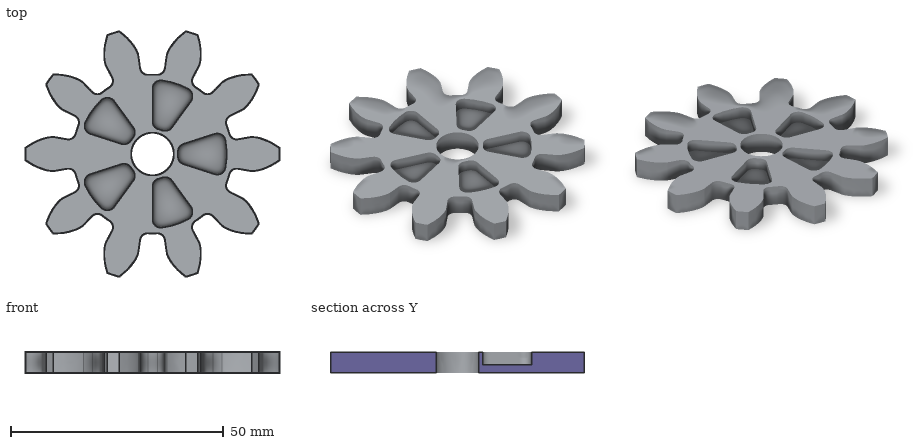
import cadquery as cq
import math

TOOTH_COUNT = 10
MODULE = 5.0
PRESSURE_ANGLE = math.radians(20)
ROOT_CLEARANCE = 1.25
ROOT_FILLET = 1.75
THICKNESS = 5.0
BORE_DIAMETER = 10.0

PITCH_RADIUS = MODULE * TOOTH_COUNT / 2
TIP_RADIUS = PITCH_RADIUS + MODULE
ROOT_RADIUS = PITCH_RADIUS - MODULE - ROOT_CLEARANCE
BASE_RADIUS = PITCH_RADIUS * math.cos(PRESSURE_ANGLE)
TOOTH_PITCH_ANGLE = 2 * math.pi / TOOTH_COUNT
FLANK_POINTS = 7

POCKET_COUNT = 5
POCKET_PITCH_ANGLE = 2 * math.pi / POCKET_COUNT
POCKET_HALF_ANGLE = POCKET_PITCH_ANGLE / 4
POCKET_INNER_RADIUS = 6.0
POCKET_OUTER_RADIUS = 17.5
POCKET_CORNER_RADIUS = 2.0
POCKET_DEPTH = 3.0


def polar(radius, angle):
    """X and Y of a point given by radius and angle."""
    return (radius * math.cos(angle), radius * math.sin(angle))


def involute(pressure_angle):
    """Involute function: polar angle rolled out at a local pressure angle."""
    return math.tan(pressure_angle) - pressure_angle


def tooth_half_angle(radius):
    """Half the angle a tooth covers at a radius on its involute flank."""
    at_pitch = TOOTH_PITCH_ANGLE / 4
    local_pressure_angle = math.acos(min(1.0, BASE_RADIUS / radius))
    return at_pitch + involute(PRESSURE_ANGLE) - involute(local_pressure_angle)


def flank_points(center_angle, side):
    """Points on one involute flank, from the base circle out to the tip."""
    points = []
    for i in range(FLANK_POINTS):
        fraction = (i / (FLANK_POINTS - 1)) ** 2
        radius = BASE_RADIUS + (TIP_RADIUS - BASE_RADIUS) * fraction
        points.append(polar(radius, center_angle + side * tooth_half_angle(radius)))
    return points


def axis_distance(edge):
    """Distance of an upright edge from the gear axis."""
    center = edge.Center()
    return math.hypot(center.x, center.y)


def make_gear_blank():
    """Toothed disc with radial flanks below the base circle and rounded roots."""
    root_half_angle = tooth_half_angle(BASE_RADIUS)
    outline = cq.Workplane("XY").moveTo(*polar(ROOT_RADIUS, -root_half_angle))
    for i in range(TOOTH_COUNT):
        center_angle = i * TOOTH_PITCH_ANGLE
        rising = flank_points(center_angle, -1)
        falling = flank_points(center_angle, 1)[::-1]
        gap_middle = polar(ROOT_RADIUS, center_angle + TOOTH_PITCH_ANGLE / 2)
        next_root = polar(ROOT_RADIUS, center_angle + TOOTH_PITCH_ANGLE - root_half_angle)
        outline = (
            outline.lineTo(*rising[0])
            .spline(rising[1:], includeCurrent=True)
            .threePointArc(polar(TIP_RADIUS, center_angle), falling[0])
            .spline(falling[1:], includeCurrent=True)
            .lineTo(*polar(ROOT_RADIUS, center_angle + root_half_angle))
            .threePointArc(gap_middle, next_root)
        )
    blank = outline.close().extrude(THICKNESS)

    root_limit = (ROOT_RADIUS + BASE_RADIUS) / 2
    root_edges = blank.edges("|Z").filter(lambda edge: axis_distance(edge) < root_limit)
    return root_edges.fillet(ROOT_FILLET)


def make_pocket(center_angle):
    """Cutter for one pocket whose straight sides lie on radial lines."""
    start = center_angle - POCKET_HALF_ANGLE
    end = center_angle + POCKET_HALF_ANGLE
    return (
        cq.Workplane("XY", origin=(0, 0, THICKNESS - POCKET_DEPTH))
        .moveTo(*polar(POCKET_INNER_RADIUS, start))
        .lineTo(*polar(POCKET_OUTER_RADIUS, start))
        .threePointArc(polar(POCKET_OUTER_RADIUS, center_angle), polar(POCKET_OUTER_RADIUS, end))
        .lineTo(*polar(POCKET_INNER_RADIUS, end))
        .threePointArc(polar(POCKET_INNER_RADIUS, center_angle), polar(POCKET_INNER_RADIUS, start))
        .close()
        .extrude(POCKET_DEPTH)
        .edges("|Z")
        .fillet(POCKET_CORNER_RADIUS)
    )


result = make_gear_blank()
for pocket_index in range(POCKET_COUNT):
    result = result.cut(make_pocket(pocket_index * POCKET_PITCH_ANGLE))
result = result.faces(">Z").workplane(origin=(0, 0, 0)).hole(BORE_DIAMETER)